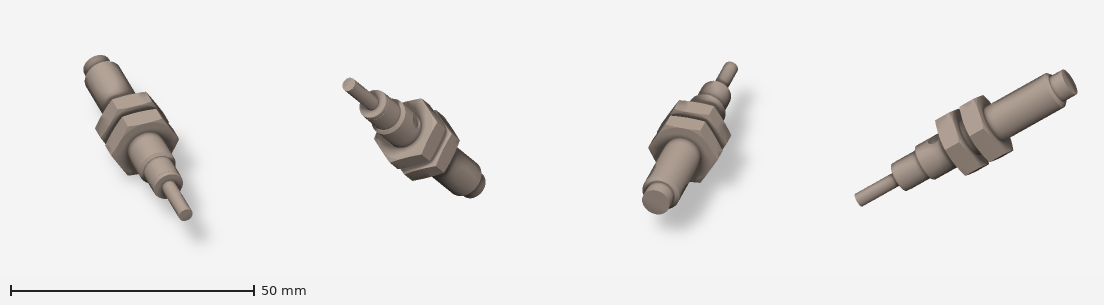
import cadquery as cq
import math

TIP_END = 3.0
BARREL_END = 36.0
COLLAR_STEP = 41.0
COLLAR_END = 42.0
CABLE_END = 52.0

TIP_DIAMETER = 5.9
BARREL_DIAMETER = 8.0
COLLAR_DIAMETER = 6.5
COLLAR_RIM_DIAMETER = 6.4
CABLE_DIAMETER = 3.0

BARREL_CHAMFER = 0.6
RIM_CHAMFER_LENGTH = 0.25
RIM_CHAMFER_DEPTH = 0.07

WINDOW_X = 30.8
WINDOW_DIAMETER = 3.0
WINDOW_DEPTH = 0.5

ACROSS_FLATS = 13.0
NUT_THICKNESS = 4.0
NUT_GAP = 2.0
NUT_COUNT = 2
FIRST_NUT_X = 18.5
NUT_CORNER_BEVEL = 0.3

ACROSS_CORNERS = ACROSS_FLATS / math.cos(math.radians(30))


def make_sensor():
    """Turned barrel with sensing tip, rear collar and cable, plus the indicator window."""
    tip_radius = TIP_DIAMETER / 2
    barrel_radius = BARREL_DIAMETER / 2
    barrel_end_radius = barrel_radius - BARREL_CHAMFER
    collar_radius = COLLAR_DIAMETER / 2
    rim_radius = COLLAR_RIM_DIAMETER / 2
    cable_radius = CABLE_DIAMETER / 2
    half_profile = [
        (0, 0),
        (0, tip_radius),
        (TIP_END, tip_radius),
        (TIP_END, barrel_end_radius),
        (TIP_END + BARREL_CHAMFER, barrel_radius),
        (BARREL_END - BARREL_CHAMFER, barrel_radius),
        (BARREL_END, barrel_end_radius),
        (BARREL_END, collar_radius),
        (COLLAR_STEP, collar_radius),
        (COLLAR_STEP, rim_radius),
        (COLLAR_END - RIM_CHAMFER_LENGTH, rim_radius),
        (COLLAR_END, rim_radius - RIM_CHAMFER_DEPTH),
        (COLLAR_END, cable_radius),
        (CABLE_END, cable_radius),
        (CABLE_END, 0),
    ]
    turned_body = cq.Workplane("XY").polyline(half_profile).close().revolve(360, (0, 0, 0), (1, 0, 0))
    window_floor = barrel_radius - WINDOW_DEPTH
    window = (
        cq.Workplane("XZ", origin=(WINDOW_X, window_floor, 0))
        .circle(WINDOW_DIAMETER / 2)
        .extrude(-barrel_radius)
    )
    return turned_body.cut(window)


def make_nut(start_x):
    """Hexagon nut with corners along Y and both faces bevelled down to the flats circle."""
    hexagon = (
        cq.Workplane("YZ", origin=(start_x, 0, 0))
        .polygon(6, ACROSS_CORNERS)
        .circle(BARREL_DIAMETER / 2)
        .extrude(NUT_THICKNESS)
    )
    end_x = start_x + NUT_THICKNESS
    flat_radius = ACROSS_FLATS / 2
    corner_radius = ACROSS_CORNERS / 2
    bevel_profile = [
        (start_x, 0),
        (start_x, flat_radius),
        (start_x + NUT_CORNER_BEVEL, corner_radius),
        (end_x - NUT_CORNER_BEVEL, corner_radius),
        (end_x, flat_radius),
        (end_x, 0),
    ]
    bevel_envelope = cq.Workplane("XY").polyline(bevel_profile).close().revolve(360, (0, 0, 0), (1, 0, 0))
    return hexagon.intersect(bevel_envelope)


sensor = make_sensor()
nuts = [make_nut(FIRST_NUT_X + index * (NUT_THICKNESS + NUT_GAP)) for index in range(NUT_COUNT)]

result = cq.Compound.makeCompound([sensor.val(), *[nut.val() for nut in nuts]])